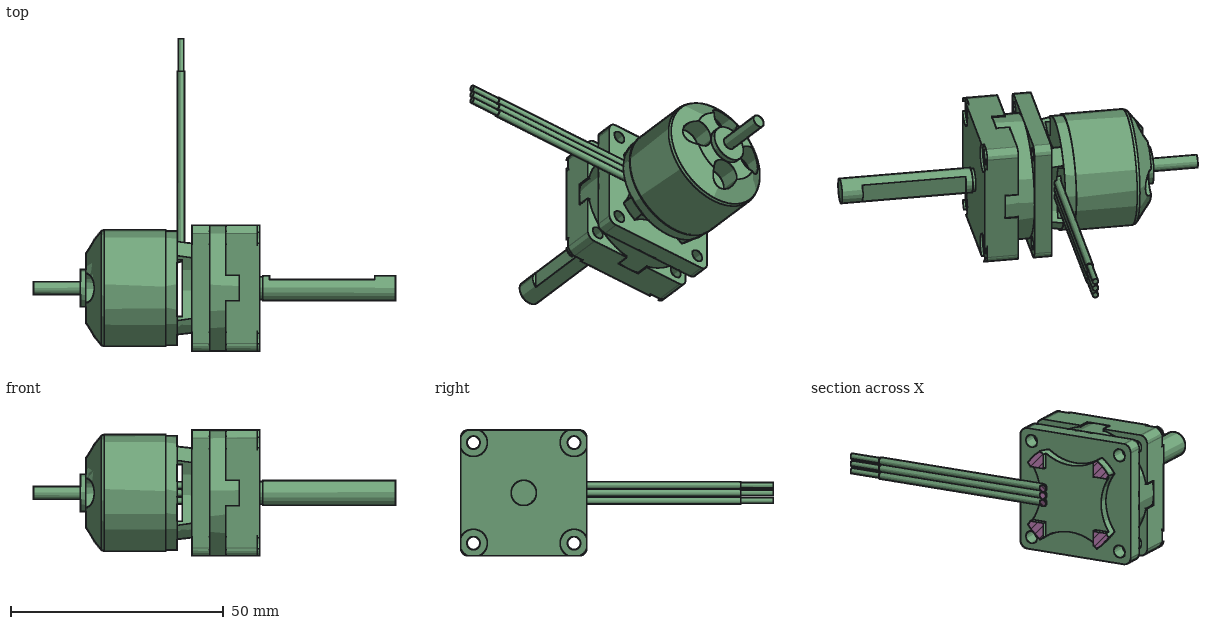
import cadquery as cq


COLLAR_X = 11.05
CONE_X = 12.34
CONE_END_X = 16.0
CAN_X = 16.7
RIM_X = 31.2
REAR_X = 33.8
SPIDER_X = 35.0
FLANGE_X = 37.3
RING_X = 41.45
HOUSING_X = 45.3
HOUSING_END_X = 53.3
SHAFT_X = 54.0
SHAFT_END_X = 85.24

MOTOR_SHAFT_R = 1.55
COLLAR_R = 4.4
NOSE_R = 8.85
RIM_R = 13.5
CAN_R = 13.75
POCKET_COUNT = 4
POCKET_R = 3.45
POCKET_CIRCLE_R = 7.9
POCKET_FLOOR_X = 17.15

SPIDER_FRONT_R = 13.35
SPIDER_REAR_R = 12.75
SCALLOP_COUNT = 4
SCALLOP_R = 12.0
SCALLOP_DEEPEST = 8.2
CHANNEL_WIDTH = 13.3

SQUARE = 29.69
CORNER_R = 1.9
SCREW_R = 1.5
SCREW_OFFSET = 11.83
SCREW_HEAD_R = 3.27
SCREW_HEAD_DEPTH = 0.6
RING_R = SQUARE / 2
TAB_WIDTH = 6.0
TAB_LENGTH = 3.15
TAB_DEPTH = 3.0

NECK_R = 2.7
OUTPUT_R = 2.97
FLAT_Y = 2.05
FLAT_X = 55.6
FLAT_END_X = 80.3

WIRE_COUNT = 3
SLEEVE_R = 0.87
CORE_R = 0.68
WIRE_PITCH = 1.8
WIRE_BEND_R = 0.92
OVERALL_Y = 73.57
WIRE_BEND_Y = 7.8
CORE_Y = 51.05
WIRE_END_Y = OVERALL_Y - SQUARE / 2


def section(x):
    """Sketch plane across the axis; local x is +Y and local y is +Z."""
    return cq.Workplane("YZ", origin=(x, 0, 0))


def rod(radius, x_start, x_end):
    return section(x_start).circle(radius).extrude(x_end - x_start)


def cross(x_start, x_end, length, width):
    """Two bars crossing on the axis, one along Y and one along Z."""
    along_y = section(x_start).rect(length, width).extrude(x_end - x_start)
    along_z = section(x_start).rect(width, length).extrude(x_end - x_start)
    return along_y.union(along_z)


def spin_about_axis(outline):
    """Turn a closed list of (x, radius) points about the X axis."""
    return cq.Workplane("XY").polyline(outline).close().revolve(360, (0, 0, 0), (1, 0, 0))


def make_spider():
    """Scalloped plate with four posts that reach forward to the motor's rear face."""
    spider = spin_about_axis([
        (REAR_X, 0),
        (REAR_X, SPIDER_FRONT_R),
        (FLANGE_X, SPIDER_REAR_R),
        (FLANGE_X, 0),
    ])
    scallops = (
        section(REAR_X)
        .polarArray(SCALLOP_DEEPEST + SCALLOP_R, 0, 360, SCALLOP_COUNT)
        .circle(SCALLOP_R)
        .extrude(FLANGE_X - REAR_X)
    )
    channels = cross(REAR_X, SPIDER_X, 2 * CAN_R, CHANNEL_WIDTH)
    return spider.cut(scallops).cut(channels)


def make_motor():
    """Can with its shaft and collar, pockets around the nose and the spider at the rear."""
    can = spin_about_axis([
        (0, 0),
        (0, MOTOR_SHAFT_R),
        (COLLAR_X, MOTOR_SHAFT_R),
        (COLLAR_X, COLLAR_R),
        (CONE_X, COLLAR_R),
        (CONE_X, NOSE_R),
        (CONE_END_X, RIM_R),
        (CAN_X, CAN_R),
        (RIM_X, CAN_R),
        (RIM_X, RIM_R),
        (REAR_X, RIM_R),
        (REAR_X, 0),
    ])
    pockets = (
        section(CONE_X)
        .polarArray(POCKET_CIRCLE_R, 0, 360, POCKET_COUNT)
        .circle(POCKET_R)
        .extrude(POCKET_FLOOR_X - CONE_X)
    )
    return can.cut(pockets).union(make_spider())


def screw_cylinders(radius, x_start, x_end):
    return (
        section(x_start)
        .rect(2 * SCREW_OFFSET, 2 * SCREW_OFFSET, forConstruction=True)
        .vertices()
        .circle(radius)
        .extrude(x_end - x_start)
    )


def make_square_plate(x_start, x_end):
    """Square plate with rounded corners and a screw hole at each corner."""
    plate = section(x_start).rect(SQUARE, SQUARE).extrude(x_end - x_start).edges("|X").fillet(CORNER_R)
    return plate.cut(screw_cylinders(SCREW_R, x_start, x_end))


def make_tab_bars():
    """Four short bars, outside the bore of the tabs and reaching the sides of the square."""
    bars = cross(HOUSING_X, HOUSING_X + TAB_LENGTH, SQUARE, TAB_WIDTH)
    return bars.cut(rod(RING_R - TAB_DEPTH, HOUSING_X, HOUSING_X + TAB_LENGTH))


def make_ring_gear():
    """Plain ring gear with tabs that key into the output housing."""
    tabs = make_tab_bars().intersect(rod(RING_R, HOUSING_X, HOUSING_X + TAB_LENGTH))
    return rod(RING_R, RING_X, HOUSING_X).union(tabs)


def make_housing():
    """Output housing with notches for the tabs and screw-head recesses in its rear face."""
    housing = make_square_plate(HOUSING_X, HOUSING_END_X)
    recesses = screw_cylinders(SCREW_HEAD_R, HOUSING_END_X - SCREW_HEAD_DEPTH, HOUSING_END_X)
    return housing.cut(recesses).cut(make_tab_bars())


def make_output_shaft():
    """Output shaft with a narrower neck at the housing and a flat along its +Y side."""
    shaft = rod(NECK_R, HOUSING_END_X, SHAFT_X).union(rod(OUTPUT_R, SHAFT_X, SHAFT_END_X))
    flat_cut = cq.Workplane("XY").box(
        FLAT_END_X - FLAT_X, OUTPUT_R, 2 * OUTPUT_R, centered=(False, False, True)
    )
    return shaft.cut(flat_cut.translate((FLAT_X, FLAT_Y, 0)))


def make_wire(z):
    """Wire that leaves the motor's rear face, bends a quarter turn and runs out along +Y."""
    wire_x = REAR_X + WIRE_BEND_R
    straight = cq.Workplane("XZ", origin=(wire_x, WIRE_BEND_Y, z))
    sleeve = straight.circle(SLEEVE_R).extrude(WIRE_BEND_Y - CORE_Y)
    core = straight.circle(CORE_R).extrude(WIRE_BEND_Y - WIRE_END_Y)
    bend = straight.circle(SLEEVE_R).revolve(90, (-WIRE_BEND_R, 0, 0), (-WIRE_BEND_R, -1, 0))
    return sleeve.union(core).union(bend)


wires = [make_wire((i - (WIRE_COUNT - 1) / 2) * WIRE_PITCH) for i in range(WIRE_COUNT)]

motor = make_motor()
for wire in wires:
    motor = motor.cut(wire)

flange = make_square_plate(FLANGE_X, RING_X)
ring_gear = make_ring_gear()
housing = make_housing()
output_shaft = make_output_shaft()

result = cq.Compound.makeCompound([
    motor.val(),
    flange.val(),
    ring_gear.val(),
    housing.val(),
    output_shaft.val(),
    *[wire.val() for wire in wires],
])